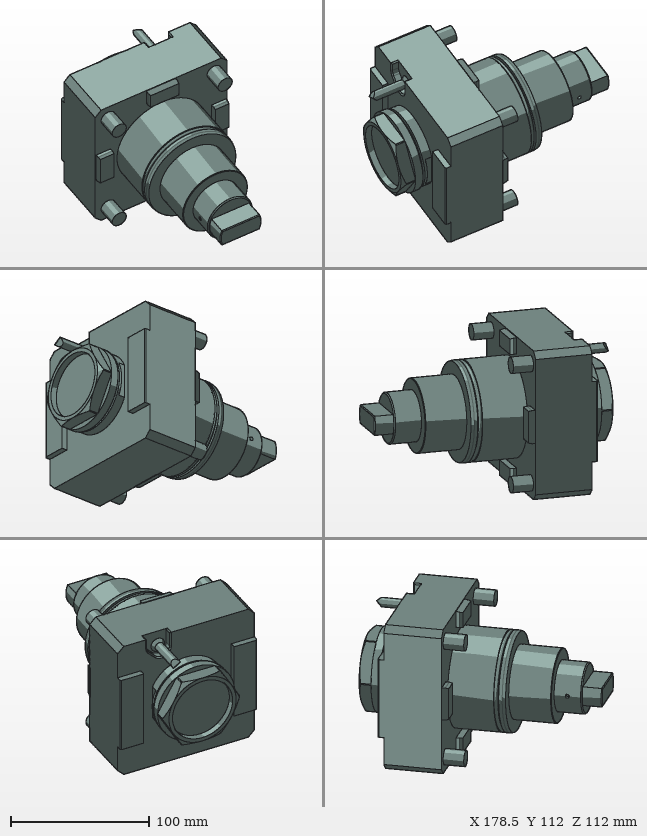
import cadquery as cq
import math


block_size = 112.0
block_length = 43.0
block_chamfer = 5.0
block_front = -block_length
half_size = block_size / 2

pad_thickness = 4.5
pad_width = 19.0
pad_height = 60.5
pad_chamfer = 1.0

tab_length = 5.0
tab_straight = 2.5
tab_width = 25.0
tab_outer = 55.5
tab_inner = 43.0
tab_slope = 0.9
tab_end_relief = 0.6
bolt_diameter = 12.0
bolt_length = 15.3
bolt_offset = 45.0

shank_radius = 37.5
shank_end = 43.0
lead_in_length = 2.4
lead_in_depth = 0.5
seal_groove_start = 34.2
seal_groove_end = 38.0
seal_groove_radius = 34.7
seal_radius = 1.5
seal_seating = 0.1
nose_radius = 27.5
nose_end = 74.7
nose_chamfer = 0.5

nozzle_y = 20.0
nozzle_z = 44.0
nozzle_radius = 3.5
nozzle_front = -66.5
nozzle_tip_length = 3.3
nozzle_seat_radius = 5.5
nozzle_seat_length = 2.7
nozzle_edge_tilt = 33.0
pocket_depth = 6.0
pocket_radius = 8.0
pocket_side_y = 33.0
pocket_corner_radius = 7.0
pocket_chamfer = 1.0
pocket_floor = block_front + pocket_depth

spindle_front = -68.5
hex_across_flats = 55.0
hex_rear = -58.6
hex_face_radius = 27.5
collar_radius = 31.5
collar_rear = -51.9
collar_chamfer = 0.6
crown_length = 2.2
face_recess_radius = 24.6
face_recess_depth = 5.0
neck_front_radius = 28.2
neck_rear_radius = 27.0
flange_front = -50.2
flange_radius = 30.5
flange_rim = 2.0
flange_across_flats = 55.0
shaft_radius = 19.0
shaft_end = 95.3
shaft_chamfer = 0.9
tang_radius = 17.5
tang_thickness = 14.5
tang_end = 110.0
tang_chamfer = 0.7
pin_hole_x = 84.4
pin_hole_diameter = 2.8
pin_hole_depth = 3.0


def revolve_about_x(profile):
    """Turn a closed (x, radius) outline around the tool axis."""
    return profile.close().revolve(360, (0, 0, 0), (1, 0, 0))


def box_between(x0, x1, y0, y1, z0, z1):
    return cq.Workplane("XY").box(x1 - x0, y1 - y0, z1 - z0, centered=False).translate((x0, y0, z0))


def section_at(x):
    """Sketch plane across the tool axis: local axes are Y and Z, extrusion goes toward +X."""
    return cq.Workplane("YZ", origin=(x, 0, 0))


def make_block():
    block = section_at(block_front).rect(block_size, block_size).extrude(block_length)
    return block.edges("|X").chamfer(block_chamfer)


def make_pad(side):
    pad_center = side * (half_size - pad_width / 2)
    pad = section_at(block_front - pad_thickness).center(pad_center, 0)
    pad = pad.rect(pad_width, pad_height).extrude(pad_thickness)
    outer_side = ">Y" if side > 0 else "<Y"
    return pad.faces("<X").edges(outer_side).chamfer(pad_chamfer)


def make_tab(angle):
    """Locating tab with a sloped outer face and relieved ends, turned about the tool axis from the top."""
    half_width = tab_width / 2
    sloped_bar = (
        cq.Workplane("XZ", origin=(0, half_width, 0))
        .moveTo(0, tab_inner)
        .lineTo(0, tab_outer)
        .lineTo(tab_length, tab_outer - tab_slope)
        .lineTo(tab_length, tab_inner)
        .close()
        .extrude(tab_width)
    )
    relieved_outline = (
        cq.Workplane("XY", origin=(0, 0, tab_inner))
        .moveTo(0, -half_width)
        .lineTo(tab_straight, -half_width)
        .lineTo(tab_length, -half_width + tab_end_relief)
        .lineTo(tab_length, half_width - tab_end_relief)
        .lineTo(tab_straight, half_width)
        .lineTo(0, half_width)
        .close()
        .extrude(tab_outer - tab_inner)
    )
    return sloped_bar.intersect(relieved_outline).rotate((0, 0, 0), (1, 0, 0), angle)


def make_bolts():
    spacing = 2 * bolt_offset
    centers = section_at(0).rect(spacing, spacing, forConstruction=True).vertices()
    return centers.circle(bolt_diameter / 2).extrude(bolt_length)


def make_shank():
    shank = (
        cq.Workplane("XY")
        .moveTo(0, 0)
        .lineTo(0, shank_radius)
        .lineTo(seal_groove_start, shank_radius)
        .lineTo(seal_groove_start, seal_groove_radius)
        .lineTo(seal_groove_end, seal_groove_radius)
        .lineTo(seal_groove_end, shank_radius)
        .lineTo(shank_end - lead_in_length, shank_radius)
        .lineTo(shank_end, shank_radius - lead_in_depth)
        .lineTo(shank_end, nose_radius)
        .lineTo(nose_end - nose_chamfer, nose_radius)
        .lineTo(nose_end, nose_radius - nose_chamfer)
        .lineTo(nose_end, 0)
    )
    return revolve_about_x(shank)


def make_seal_bead():
    """Ring of round section seated against the front wall and floor of the seal groove."""
    bead_center = (seal_groove_start + seal_radius - seal_seating, shank_radius - seal_radius)
    bead = cq.Workplane("XY").moveTo(*bead_center).circle(seal_radius)
    return bead.revolve(360, (0, 0, 0), (1, 0, 0))


def make_pocket():
    """Coolant pocket, open to the front and top of the block, with a chamfered rim."""
    diagonal = math.radians(45)
    inner_side_y = nozzle_y - pocket_radius
    corner_y = pocket_side_y - pocket_corner_radius
    bottom_center = (nozzle_y, nozzle_z)
    corner_rise = (corner_y - nozzle_y) + math.sqrt(2) * (pocket_corner_radius - pocket_radius)
    corner_center = (corner_y, nozzle_z + corner_rise)

    def arc_point(center, radius, angle):
        """Point on an arc, with the angle measured from +Y down toward -Z."""
        return (center[0] + radius * math.cos(angle), center[1] - radius * math.sin(angle))

    def outline(x):
        return (
            section_at(x)
            .moveTo(pocket_side_y, half_size)
            .lineTo(*arc_point(corner_center, pocket_corner_radius, 0))
            .threePointArc(
                arc_point(corner_center, pocket_corner_radius, diagonal / 2),
                arc_point(corner_center, pocket_corner_radius, diagonal),
            )
            .lineTo(*arc_point(bottom_center, pocket_radius, diagonal))
            .threePointArc(
                arc_point(bottom_center, pocket_radius, math.pi / 2),
                arc_point(bottom_center, pocket_radius, math.pi),
            )
            .lineTo(inner_side_y, half_size)
            .close()
        )

    inner = outline(block_front).offset2D(-pocket_chamfer, "intersection").extrude(pocket_depth)
    open_top = box_between(
        block_front, pocket_floor,
        inner_side_y + pocket_chamfer, pocket_side_y - pocket_chamfer,
        corner_center[1], half_size,
    )
    rim = outline(block_front).extrude(pocket_chamfer, taper=45)
    top_flare = (
        section_at(block_front)
        .moveTo(inner_side_y, half_size)
        .lineTo(pocket_side_y, half_size)
        .lineTo(pocket_side_y - pocket_chamfer, half_size - pocket_chamfer)
        .lineTo(inner_side_y + pocket_chamfer, half_size - pocket_chamfer)
        .close()
        .extrude(pocket_depth)
    )
    return inner.union(open_top).union(rim).union(top_flare)


def make_nozzle():
    """Nozzle rod on a conical seat, cut at the tip to a chisel edge."""
    seat_front = pocket_floor - nozzle_seat_length
    profile = (
        cq.Workplane("XY")
        .moveTo(nozzle_front, 0)
        .lineTo(nozzle_front, nozzle_radius)
        .lineTo(seat_front, nozzle_radius)
        .lineTo(pocket_floor, nozzle_seat_radius)
        .lineTo(pocket_floor, 0)
    )
    rod = revolve_about_x(profile)
    seat_diameter = 2 * nozzle_seat_radius
    wedge_end = nozzle_front + seat_diameter * nozzle_tip_length / nozzle_radius
    wedge = (
        cq.Workplane("XZ", origin=(0, seat_diameter / 2, 0))
        .moveTo(nozzle_front, 0)
        .lineTo(wedge_end, seat_diameter)
        .lineTo(pocket_floor, seat_diameter)
        .lineTo(pocket_floor, -seat_diameter)
        .lineTo(wedge_end, -seat_diameter)
        .close()
        .extrude(seat_diameter)
        .rotate((0, 0, 0), (1, 0, 0), -nozzle_edge_tilt)
    )
    return rod.intersect(wedge).translate((0, nozzle_y, nozzle_z))


def make_housing():
    housing = make_block().union(make_shank()).union(make_seal_bead())
    for side in (-1, 1):
        housing = housing.union(make_pad(side))
    for angle in (0, 90, 180, 270):
        housing = housing.union(make_tab(angle))
    housing = housing.union(make_bolts())
    housing = housing.cut(make_pocket()).union(make_nozzle())
    bore = section_at(block_front).circle(shaft_radius).extrude(nose_end - block_front)
    return housing.cut(bore)


def make_hex_head():
    """Hexagon with corners on the Y axis, crowned at its front face."""
    corner_diameter = hex_across_flats / math.cos(math.radians(30))
    head = section_at(spindle_front).polygon(6, corner_diameter).extrude(hex_rear - spindle_front)
    crown = (
        cq.Workplane("XY")
        .moveTo(spindle_front, 0)
        .lineTo(spindle_front, hex_face_radius)
        .lineTo(spindle_front + crown_length, collar_radius)
        .lineTo(hex_rear, collar_radius)
        .lineTo(hex_rear, 0)
    )
    return head.intersect(revolve_about_x(crown))


def make_spindle_body():
    """Collar, neck, flange and shaft turned as one piece."""
    body = (
        cq.Workplane("XY")
        .moveTo(hex_rear, 0)
        .lineTo(hex_rear, collar_radius)
        .lineTo(collar_rear - collar_chamfer, collar_radius)
        .lineTo(collar_rear, collar_radius - collar_chamfer)
        .lineTo(collar_rear, neck_front_radius)
        .lineTo(flange_front, neck_rear_radius)
        .lineTo(flange_front, flange_radius)
        .lineTo(block_front, flange_radius)
        .lineTo(block_front, shaft_radius)
        .lineTo(shaft_end - shaft_chamfer, shaft_radius)
        .lineTo(shaft_end, shaft_radius - shaft_chamfer)
        .lineTo(shaft_end, 0)
    )
    return revolve_about_x(body)


def make_wrench_flat(side):
    """Cutter for one spanner flat behind the flange rim."""
    flat_y = side * flange_across_flats / 2
    outer_y = side * collar_radius
    return box_between(
        flange_front + flange_rim, block_front,
        min(flat_y, outer_y), max(flat_y, outer_y),
        -collar_radius, collar_radius,
    )


def make_tang():
    """Drive tang: a round end with two flats and a chamfered end face."""
    half_thickness = tang_thickness / 2
    tang = section_at(shaft_end).circle(tang_radius).extrude(tang_end - shaft_end)
    tang = tang.intersect(
        box_between(shaft_end, tang_end, -tang_radius, tang_radius, -half_thickness, half_thickness)
    )
    return tang.faces(">X").chamfer(tang_chamfer)


def make_spindle():
    spindle = make_spindle_body().union(make_hex_head()).union(make_tang())
    for side in (-1, 1):
        spindle = spindle.cut(make_wrench_flat(side))
    face_recess = section_at(spindle_front).circle(face_recess_radius).extrude(face_recess_depth)
    pin_hole = (
        cq.Workplane("XZ", origin=(pin_hole_x, -shaft_radius + pin_hole_depth, 0))
        .circle(pin_hole_diameter / 2)
        .extrude(pin_hole_depth)
    )
    return spindle.cut(face_recess).cut(pin_hole)


housing = make_housing()
spindle = make_spindle()
result = cq.Compound.makeCompound([housing.solids().val(), spindle.solids().val()])